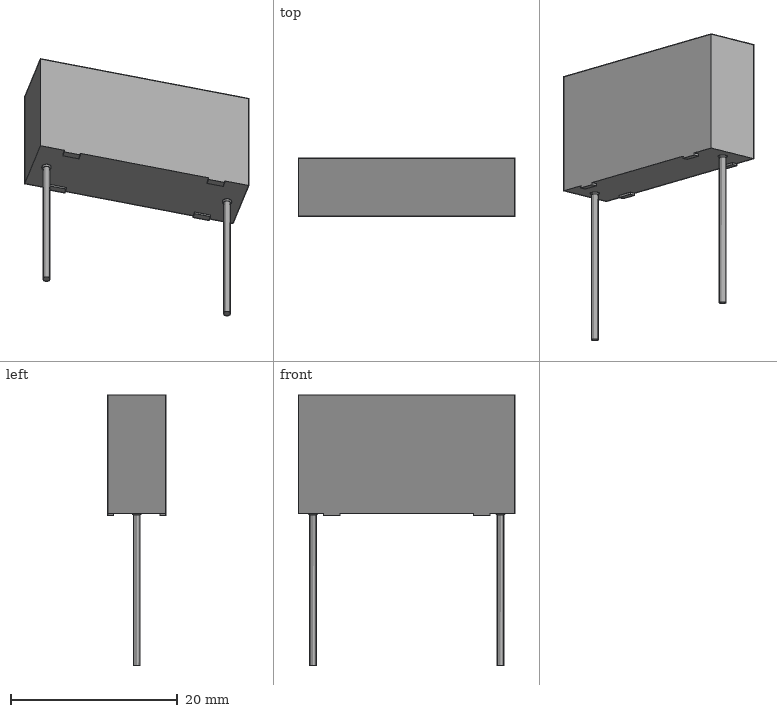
import cadquery as cq

length = 26.0
width = 7.0
total_height = 32.5

case_height = 14.25

foot_length = 2.0
foot_width = 0.7
foot_height = 0.25
foot_end_gap = 3.0

lead_diameter = 0.8
lead_spacing = 22.52
lead_length = total_height - case_height
collar_diameter = 1.15
collar_height = 0.2

foot_x = length / 2 - foot_end_gap - foot_length / 2
foot_y = width / 2 - foot_width / 2
lead_x = lead_spacing / 2


def make_case():
    return cq.Workplane("XY").box(length, width, case_height, centered=(True, True, False))


def make_foot(x, y):
    return cq.Workplane("XY").center(x, y).rect(foot_length, foot_width).extrude(-foot_height)


def make_lead(x):
    lead = cq.Workplane("XY").center(x, 0).circle(lead_diameter / 2).extrude(-lead_length)
    collar = (
        cq.Workplane("XY")
        .center(x, 0)
        .circle(collar_diameter / 2)
        .workplane(offset=-collar_height)
        .circle(lead_diameter / 2)
        .loft(ruled=True)
    )
    return lead.union(collar)


result = make_case()
for side in (-1, 1):
    result = result.union(make_lead(side * lead_x))
    for edge in (-1, 1):
        result = result.union(make_foot(side * foot_x, edge * foot_y))